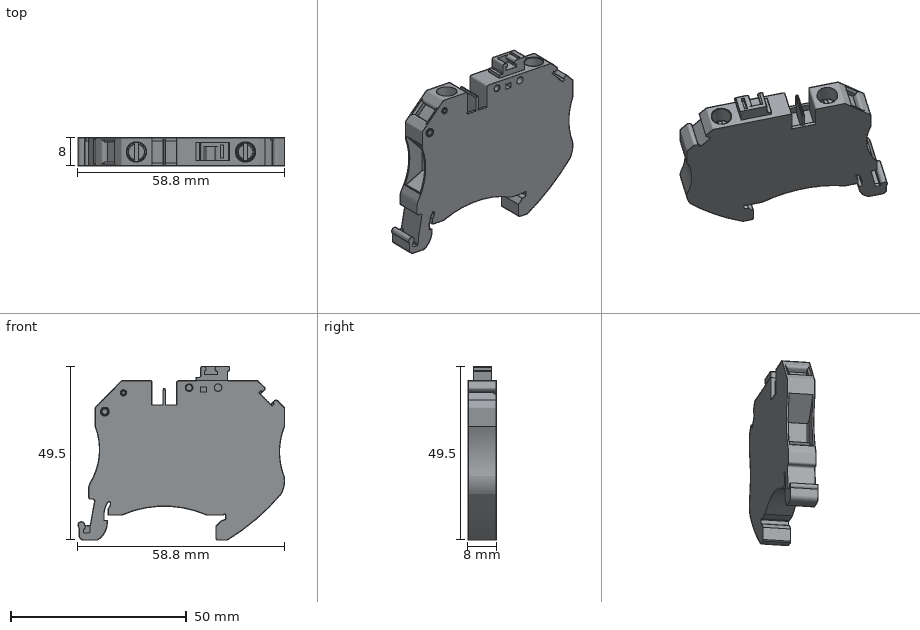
import cadquery as cq
import math

LENGTH = 58.85
WIDTH = 8.0
TOP = 45.45
MARKER_TOP = 49.5
SIDE_X = 4.9
WAIST_Z = 32.4
GRIP_X = 6.1
GRIP_Z = 25.6
RAIL_Z = 7.1
WALL = 0.55
SCREW_Y = 3.95
REAR_WEB = 0.7
CLIP_WEB = 0.95

NOTCH_X = (21.05, 28.1)
NOTCH_FLOOR = 38.5
NOTCH_WELL_Y = (0.75, 7.1)
NOTCH_WELL_DEPTH = 2.35
FIN_X = (24.2, 24.95)
FIN_TOP = 43.15
FIN_TIP = 0.25
FIN_REAR_Y = 7.5
NOTCH_ROUND = 0.7
CORNER_ROUND = 0.5

HOLDER_Y = (1.5, 6.65)
HOLDER_SLOT_REAR = 5.55
HOLDER_ROUND = 0.6
HOLDER_WALL_X = 34.95
POCKET_X = (40.6, 41.45)
POCKET_Y = (2.2, 5.9)
POCKET_DEPTH = 1.5

BORE_RIM = 5.75
SCREWS = [
    (16.65, BORE_RIM, 5.4),
    (47.7, 5.4, 5.0),
]
SCREW_BEVEL = 0.4
SCREW_DEPTH = 4.7
HEAD_HEIGHT = 1.2
DRIVER_SLOT = 1.1
DRIVER_SLOT_DEPTH = 0.7

RING_GROOVES = [
    (12.95, 41.95, 1.75, 1.5, 1.0),
    (7.65, 36.6, 2.5, 2.0, 1.6),
]
GROOVE_DEPTH = 0.3
TEST_HOLES = [
    (31.65, 1.75),
    (39.9, 2.1),
]
TEST_HOLE_RIM = 2.1
TEST_HOLE_Z = 43.45
TEST_HOLE_DEPTH = 2.95
WINDOW_X = (34.9, 36.65)
WINDOW_Z = (42.15, 43.65)

SEAT_CORNER = (51.15, TOP)
RIGHT_CORNER = (LENGTH, 37.7)
SEAT_LEFT = (51.9, 41.6)
SEAT_LENGTH = 4.25
UNDERCUT_LENGTH = 5.3
UNDERCUT_HEIGHT = 0.8

BEVEL_START = (SIDE_X, 37.7)
BEVEL_END = (12.5, TOP)
OPENING_FROM = 2.55
OPENING_LENGTH = 5.65
OPENING_DEPTH = 1.7
OPENING_LIP = 0.75
OPENING_FLARE = 0.6
OPENING_Y = (1.1, 6.8)

FUNNEL_MOUTH_Z = (33.35, 17.9)
FUNNEL_END_Z = (26.6, 20.95)
FUNNEL_TAPER_X = 10.55
FUNNEL_END_X = 11.2
FUNNEL_END_Y = (0.95, 6.3)


def prism(profile, y_front, y_rear):
    """Extrude a closed XZ profile from y_front back to y_rear."""
    return profile.extrude(y_front - y_rear)


def sketch(x, z, y_front=0.0):
    """Start an XZ profile at (x, z) in the plane Y = y_front."""
    return cq.Workplane("XZ", origin=(0, y_front, 0)).moveTo(x, z)


def block(x_range, y_range, z_range):
    """Box given by its limits along the three axes."""
    corner = (x_range[0], y_range[0], z_range[0])
    size = (x_range[1] - x_range[0], y_range[1] - y_range[0], z_range[1] - z_range[0])
    return cq.Workplane("XY").box(*size, centered=False).translate(corner)


def round_corner(body, corner, radius):
    """Fillet the edge that runs across the full width at the XZ point corner."""
    edge_middle = (corner[0], WIDTH / 2, corner[1])
    return body.edges(cq.selectors.NearestToPointSelector(edge_middle)).fillet(radius)


def make_housing():
    """Full-width plate with the rail foot, end grips, notch and label seat."""
    seat_run = SEAT_LENGTH * math.sqrt(0.5)
    profile = (
        sketch(*BEVEL_START)
        .lineTo(*BEVEL_END)
        .lineTo(NOTCH_X[0], TOP)
        .lineTo(NOTCH_X[0], NOTCH_FLOOR)
        .lineTo(NOTCH_X[1], NOTCH_FLOOR)
        .lineTo(NOTCH_X[1], TOP)
        .lineTo(*SEAT_CORNER)
        .lineTo(52.95, 43.65)
        .threePointArc((53.25, 43.2), (53.1, 42.7))
        .lineTo(*SEAT_LEFT)
        .lineTo(SEAT_LEFT[0] + seat_run, SEAT_LEFT[1] - seat_run)
        .lineTo(55.9, 39.65)
        .threePointArc((56.45, 39.87), (57.1, 39.5))
        .lineTo(*RIGHT_CORNER)
        .lineTo(LENGTH, WAIST_Z)
        .threePointArc((57.45, 25.8), (58.75, 18.1))
        .threePointArc((58.6, 15.0), (57.85, 13.1))
        .threePointArc((50.8, 6.0), (42.5, 0))
        .lineTo(39.65, 0)
        .lineTo(39.3, 0.35)
        .lineTo(39.3, 4.0)
        .lineTo(40.8, 5.5)
        .lineTo(42.1, 5.95)
        .lineTo(42.1, RAIL_Z)
        .threePointArc((41.8, 7.35), (41.45, RAIL_Z))
        .lineTo(36.7, RAIL_Z)
        .threePointArc((24.6, 9.65), (12.5, RAIL_Z))
        .lineTo(8.6, RAIL_Z)
        .lineTo(8.6, 8.8)
        .lineTo(9.2, 9.95)
        .lineTo(9.25, 10.65)
        .threePointArc((8.95, 10.95), (8.55, 10.8))
        .threePointArc((7.7, 9.0), (7.4, 6.95))
        .lineTo(7.4, 5.65)
        .lineTo(8.35, 5.6)
        .threePointArc((7.6, 2.1), (5.55, 0))
        .lineTo(1.6, 0)
        .threePointArc((0.7, 0.4), (0.3, 1.4))
        .lineTo(0.3, 3.25)
        .lineTo(0.25, 3.65)
        .threePointArc((0.95, 5.25), (1.95, 4.25))
        .lineTo(1.95, 3.35)
        .lineTo(1.6, 2.95)
        .lineTo(1.6, 2.3)
        .lineTo(1.9, 2.0)
        .lineTo(3.05, 2.0)
        .lineTo(3.4, 2.3)
        .lineTo(3.5, 4.1)
        .lineTo(4.5, 9.65)
        .lineTo(4.7, 10.9)
        .threePointArc((4.65, 11.4), (4.25, 11.65))
        .lineTo(3.65, 11.65)
        .threePointArc((3.25, 11.8), (3.05, 12.25))
        .lineTo(3.05, 15.2)
        .lineTo(3.3, 15.95)
        .threePointArc((GRIP_X, GRIP_Z), (SIDE_X, WAIST_Z))
        .close()
    )
    housing = prism(profile, 0, WIDTH)
    for corner in (BEVEL_START, BEVEL_END, (NOTCH_X[0], TOP), SEAT_CORNER, RIGHT_CORNER):
        housing = round_corner(housing, corner, CORNER_ROUND)
    return round_corner(housing, (NOTCH_X[1], TOP), NOTCH_ROUND)


def make_clip_web():
    """Thin wall that closes the driver slot of the clip foot at the rear."""
    profile = (
        sketch(1.55, 1.95, WIDTH - CLIP_WEB)
        .lineTo(1.55, 4.35)
        .lineTo(2.3, 4.05)
        .lineTo(3.55, 4.25)
        .lineTo(3.55, 1.95)
        .close()
    )
    return prism(profile, WIDTH - CLIP_WEB, WIDTH)


def make_notch_well():
    """Deeper part of the bridge notch between its front and rear ledges."""
    return block(NOTCH_X, NOTCH_WELL_Y, (NOTCH_FLOOR - NOTCH_WELL_DEPTH, NOTCH_FLOOR))


def make_fin():
    """Partition with a bevelled tip standing in the bridge notch."""
    fin = block(FIN_X, (0, FIN_REAR_Y), (NOTCH_FLOOR - NOTCH_WELL_DEPTH, FIN_TOP))
    return fin.faces(">Z").edges("|Y").chamfer(2 * FIN_TIP, FIN_TIP)


def make_marker_holder():
    """Raised holder with a dovetail slot and a small label pocket."""
    body = prism(
        sketch(33.65, TOP, HOLDER_Y[0])
        .lineTo(33.65, 46.4)
        .lineTo(34.65, 46.4)
        .lineTo(HOLDER_WALL_X, 46.65)
        .lineTo(HOLDER_WALL_X, MARKER_TOP - HOLDER_ROUND)
        .radiusArc((HOLDER_WALL_X + HOLDER_ROUND, MARKER_TOP), HOLDER_ROUND)
        .lineTo(42.9, MARKER_TOP)
        .lineTo(43.2, 49.2)
        .lineTo(43.2, 48.4)
        .lineTo(42.6, 47.95)
        .lineTo(42.6, TOP)
        .close(),
        *HOLDER_Y,
    )
    slot = prism(
        sketch(35.95, MARKER_TOP, HOLDER_Y[0])
        .threePointArc((36.5, 48.8), (36.0, 48.0))
        .lineTo(36.0, 47.2)
        .lineTo(39.7, 47.2)
        .lineTo(39.7, 48.0)
        .threePointArc((39.1, 48.65), (39.8, MARKER_TOP))
        .close(),
        HOLDER_Y[0],
        HOLDER_SLOT_REAR,
    )
    pocket = block(POCKET_X, POCKET_Y, (MARKER_TOP - POCKET_DEPTH, MARKER_TOP))
    return body.cut(slot).cut(pocket)


def disc(x, diameter, z_top, height):
    """Vertical cylinder on the screw centre line."""
    plane = cq.Workplane("XY", origin=(x, SCREW_Y, z_top - height))
    return plane.circle(diameter / 2).extrude(height)


def make_screw_bore(x, bore_diameter, head_diameter):
    """Blind screw bore holding a bevelled, slotted screw head at its bottom."""
    head_top = TOP - SCREW_DEPTH
    bore = disc(x, bore_diameter, TOP, SCREW_DEPTH + HEAD_HEIGHT)
    if bore_diameter < BORE_RIM:
        sink = (BORE_RIM - bore_diameter) / 2
        cone = cq.Solid.makeCone(bore_diameter / 2, BORE_RIM / 2, sink, pnt=(x, SCREW_Y, TOP - sink))
        bore = bore.union(cq.Workplane(cone))
    head = disc(x, head_diameter, head_top, HEAD_HEIGHT).faces(">Z").chamfer(SCREW_BEVEL)
    slot_x = (x - DRIVER_SLOT / 2, x + DRIVER_SLOT / 2)
    driver_slot = block(slot_x, (0, WIDTH), (head_top - DRIVER_SLOT_DEPTH, head_top))
    return bore.cut(head.cut(driver_slot))


def make_ring_groove(x, z, groove_diameter, pin_diameter, tip_diameter):
    """Groove around a bevelled round pin that ends flush with the front face."""
    groove = prism(sketch(x, z).circle(groove_diameter / 2), 0, GROOVE_DEPTH)
    pin = prism(sketch(x, z).circle(pin_diameter / 2), 0, GROOVE_DEPTH)
    return groove.cut(pin.faces("<Y").chamfer((pin_diameter - tip_diameter) / 2))


def make_test_hole(x, diameter):
    """Blind hole in the front face; a narrower one is countersunk to the rim."""
    hole = prism(sketch(x, TEST_HOLE_Z).circle(diameter / 2), 0, TEST_HOLE_DEPTH)
    if diameter < TEST_HOLE_RIM:
        sink = (TEST_HOLE_RIM - diameter) / 2
        cone = cq.Solid.makeCone(
            TEST_HOLE_RIM / 2, diameter / 2, sink, pnt=(x, 0, TEST_HOLE_Z), dir=(0, 1, 0)
        )
        hole = hole.union(cq.Workplane(cone))
    return hole


def make_window():
    """Small rectangular blind window between the test holes."""
    return block(WINDOW_X, (0, TEST_HOLE_DEPTH), WINDOW_Z)


def make_seat_undercut():
    """Groove along the floor of the label seat, stopped by the rear web."""
    overhang = (UNDERCUT_LENGTH - SEAT_LENGTH) / 2
    plane = cq.Plane(
        origin=(SEAT_LEFT[0], 0, SEAT_LEFT[1]),
        xDir=(1, 0, -1),
        normal=(0, -1, 0),
    )
    profile = cq.Workplane(plane).moveTo(-overhang, 0)
    profile = profile.rect(UNDERCUT_LENGTH, UNDERCUT_HEIGHT, centered=False)
    return profile.extrude(REAR_WEB - WIDTH)


def make_wire_funnel():
    """Wire entry in the left grip: sloping roof and floor, sides closing in at the end."""
    side_profile = prism(
        sketch(0, FUNNEL_MOUTH_Z[0])
        .lineTo(SIDE_X, FUNNEL_MOUTH_Z[0])
        .lineTo(FUNNEL_END_X, FUNNEL_END_Z[0])
        .lineTo(FUNNEL_END_X, FUNNEL_END_Z[1])
        .lineTo(SIDE_X, FUNNEL_MOUTH_Z[1])
        .lineTo(0, FUNNEL_MOUTH_Z[1])
        .close(),
        0,
        WIDTH,
    )
    plan = (
        cq.Workplane("XY")
        .moveTo(0, WALL)
        .lineTo(FUNNEL_TAPER_X, WALL)
        .lineTo(FUNNEL_END_X, FUNNEL_END_Y[0])
        .lineTo(FUNNEL_END_X, FUNNEL_END_Y[1])
        .lineTo(FUNNEL_TAPER_X, WIDTH - WALL)
        .lineTo(0, WIDTH - WALL)
        .close()
        .extrude(TOP)
    )
    return side_profile.intersect(plan)


def make_bevel_opening():
    """Pocket in the bevelled corner with rounded lips above and below and flared sides.

    It is built on a level surface at Z = 0, running along +X, then tilted onto the bevel.
    """
    run = BEVEL_END[0] - BEVEL_START[0]
    rise = BEVEL_END[1] - BEVEL_START[1]
    upper = OPENING_FROM + OPENING_LENGTH
    lengthwise = prism(
        sketch(OPENING_FROM, 0)
        .radiusArc((OPENING_FROM + OPENING_LIP, -OPENING_LIP), OPENING_LIP)
        .lineTo(OPENING_FROM + OPENING_LIP, -OPENING_DEPTH)
        .lineTo(upper - OPENING_LIP, -OPENING_DEPTH)
        .lineTo(upper - OPENING_LIP, -OPENING_LIP)
        .radiusArc((upper, 0), OPENING_LIP)
        .close(),
        0,
        WIDTH,
    )
    crosswise = (
        cq.Workplane("YZ")
        .moveTo(OPENING_Y[0] - OPENING_FLARE, 0)
        .lineTo(OPENING_Y[0], -OPENING_FLARE)
        .lineTo(OPENING_Y[0], -OPENING_DEPTH)
        .lineTo(OPENING_Y[1], -OPENING_DEPTH)
        .lineTo(OPENING_Y[1], -OPENING_FLARE)
        .lineTo(OPENING_Y[1] + OPENING_FLARE, 0)
        .close()
        .extrude(upper)
    )
    tilt = math.degrees(math.atan2(rise, run))
    opening = lengthwise.intersect(crosswise).rotate((0, 0, 0), (0, 1, 0), -tilt)
    return opening.translate((BEVEL_START[0], 0, BEVEL_START[1]))


result = make_housing().cut(make_notch_well())
result = result.union(make_clip_web()).union(make_fin()).union(make_marker_holder())

for screw in SCREWS:
    result = result.cut(make_screw_bore(*screw))
for groove in RING_GROOVES:
    result = result.cut(make_ring_groove(*groove))
for hole in TEST_HOLES:
    result = result.cut(make_test_hole(*hole))

result = result.cut(make_window()).cut(make_seat_undercut())
result = result.cut(make_wire_funnel()).cut(make_bevel_opening())